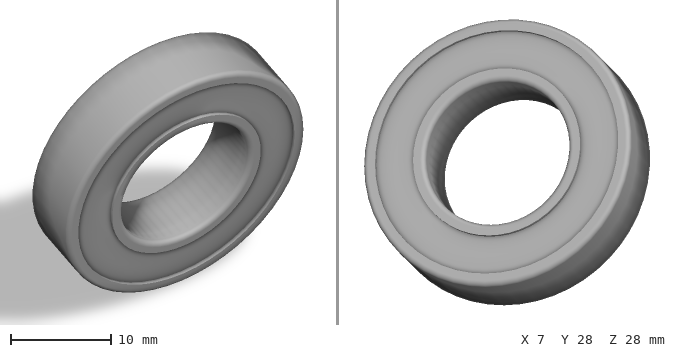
import cadquery as cq

outer_diameter = 28.0
bore_diameter = 15.0
width = 7.0
edge_radius = 0.5

recess_outer_diameter = 25.48
recess_inner_diameter = 17.5
recess_depth = 0.4


def ring(outer, inner, length, start_x):
    """Plain ring about the X axis, running from start_x towards +X."""
    plane = cq.Workplane("YZ", origin=(start_x, 0, 0))
    return plane.circle(outer / 2).circle(inner / 2).extrude(length)


body = ring(outer_diameter, bore_diameter, width, -width / 2)
body = body.edges("%CIRCLE").fillet(edge_radius)

for recess_start in (-width / 2, width / 2 - recess_depth):
    recess = ring(recess_outer_diameter, recess_inner_diameter, recess_depth, recess_start)
    body = body.cut(recess)

result = body